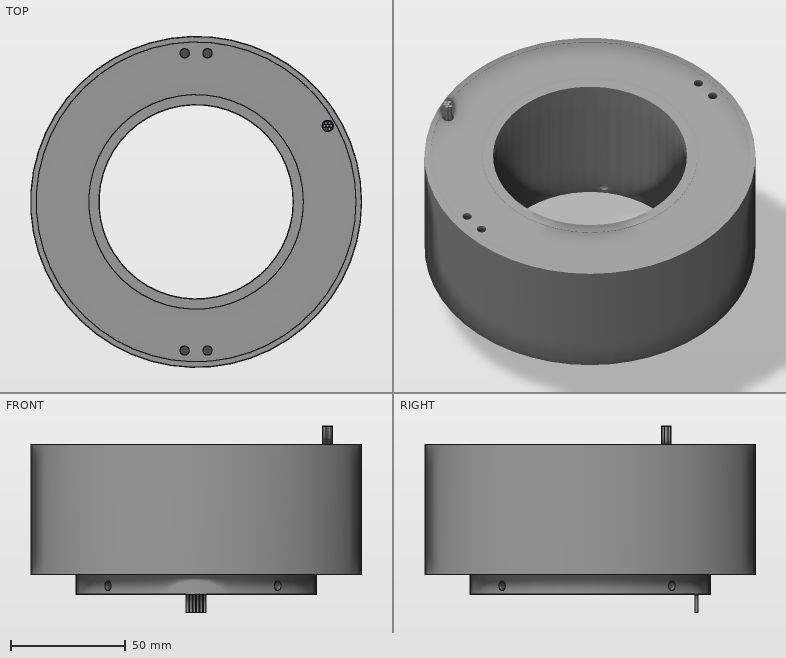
import cadquery as cq
import math

outer_diameter = 145.0
bore_diameter = 85.0
body_height = 57.0
flange_diameter = 105.3
flange_height = 8.7
top_face = flange_height + body_height

sleeve_diameter = 94.0
rim_inner_diameter = 140.0
potting_recess = 0.1

mounting_hole_diameter = 4.0
mounting_hole_depth = 10.2
mounting_hole_spacing = 10.0
mounting_hole_offset = 65.1

radial_hole_diameter = 4.0
radial_hole_height = 3.8
radial_hole_count = 4
first_radial_angle = 42.8

wire_diameter = 1.38
wire_gap = 0.12
wire_pitch = wire_diameter + wire_gap
wire_length = 8.0
wire_embedding = 1.5

outlet_diameter = 5.0
outlet_depth = 8.7
outlet_radius = 66.5
outlet_angle = math.radians(30)
outlet_x = outlet_radius * math.cos(outlet_angle)
outlet_y = outlet_radius * math.sin(outlet_angle)
bundle_angles = (0, 60, 120, 180, 300)

row_wire_count = 6
row_y = 46.5


def cylinder(diameter, bottom, top, x=0.0, y=0.0):
    """Upright cylinder between two heights."""
    return (
        cq.Workplane("XY")
        .workplane(offset=bottom)
        .center(x, y)
        .circle(diameter / 2)
        .extrude(top - bottom)
    )


def make_housing():
    """Body and flange with a common bore and a sunken potted face."""
    housing = cylinder(outer_diameter, flange_height, top_face)
    housing = housing.union(cylinder(flange_diameter, 0, flange_height))
    housing = housing.cut(cylinder(bore_diameter, 0, top_face))
    potting_bottom = top_face - potting_recess
    recess = cylinder(rim_inner_diameter, potting_bottom, top_face)
    recess = recess.cut(cylinder(sleeve_diameter, potting_bottom, top_face))
    return housing.cut(recess)


def cut_mounting_holes(housing):
    for side_x in (-1, 1):
        for side_y in (-1, 1):
            x = side_x * mounting_hole_spacing / 2
            y = side_y * mounting_hole_offset
            bottom = top_face - mounting_hole_depth
            housing = housing.cut(cylinder(mounting_hole_diameter, bottom, top_face, x, y))
    return housing


def cut_radial_holes(housing):
    """Each hole runs outward from the axis through one side of the flange."""
    drill = (
        cq.Workplane("YZ")
        .center(0, radial_hole_height)
        .circle(radial_hole_diameter / 2)
        .extrude(flange_diameter / 2)
    )
    for index in range(radial_hole_count):
        angle = first_radial_angle + index * 360 / radial_hole_count
        housing = housing.cut(drill.rotate((0, 0, 0), (0, 0, 1), angle))
    return housing


def add_wire_bundle(housing):
    """One central wire with five around it, rooted below the outlet floor."""
    outlet_floor = top_face - outlet_depth
    housing = housing.cut(cylinder(outlet_diameter, outlet_floor, top_face, outlet_x, outlet_y))
    positions = [(outlet_x, outlet_y)]
    for degrees in bundle_angles:
        angle = math.radians(degrees)
        x = outlet_x + wire_pitch * math.cos(angle)
        y = outlet_y + wire_pitch * math.sin(angle)
        positions.append((x, y))
    for x, y in positions:
        wire = cylinder(wire_diameter, outlet_floor - wire_embedding, top_face + wire_length, x, y)
        housing = housing.union(wire)
    return housing


def add_wire_row(housing):
    for index in range(row_wire_count):
        x = (index - (row_wire_count - 1) / 2) * wire_pitch
        housing = housing.union(cylinder(wire_diameter, -wire_length, wire_embedding, x, row_y))
    return housing


result = make_housing()
result = cut_mounting_holes(result)
result = cut_radial_holes(result)
result = add_wire_bundle(result)
result = add_wire_row(result)